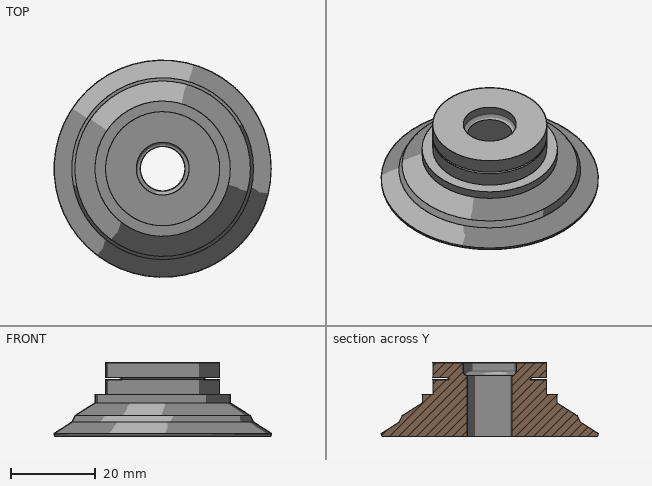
import cadquery as cq
import math

lip_edge_height = 0.5
lip_top_height = 0.8
skirt_step_height = 3.5
shoulder_height = 5.0
collar_height = 8.0
neck_height = 10.0
groove_bottom_height = 13.5
groove_width = 0.5
total_height = 17.5

lip_diameter = 51.4
skirt_step_diameter = 43.0
shoulder_diameter = 41.5
collar_diameter = 32.0
neck_diameter = 27.0
stem_diameter = 19.0

lip_radius = 0.5

stem_blend_radius = 1.0

bore_diameter = 10.5
counterbore_diameter = 12.5
counterbore_straight_depth = 2.0


def make_body():
    """Revolve the outer profile about Z, with a groove cut in around the neck."""
    lip = lip_diameter / 2
    neck = neck_diameter / 2
    collar = collar_diameter / 2
    groove_top_height = groove_bottom_height + groove_width
    blend_center = stem_diameter / 2 + stem_blend_radius
    center_below_groove = stem_blend_radius - groove_width
    groove_floor = blend_center - math.sqrt(stem_blend_radius**2 - center_below_groove**2)
    profile = (
        cq.Workplane("XZ")
        .moveTo(0, 0)
        .lineTo(lip - lip_radius, 0)
        .radiusArc((lip, lip_edge_height), -lip_radius)
        .lineTo(lip, lip_top_height)
        .lineTo(skirt_step_diameter / 2, skirt_step_height)
        .lineTo(shoulder_diameter / 2, shoulder_height)
        .lineTo(collar, collar_height)
        .lineTo(collar, neck_height)
        .lineTo(neck, neck_height)
        .lineTo(neck, groove_bottom_height)
        .lineTo(groove_floor, groove_bottom_height)
        .radiusArc((blend_center, groove_top_height), stem_blend_radius)
        .lineTo(neck, groove_top_height)
        .lineTo(neck, total_height)
        .lineTo(0, total_height)
        .close()
    )
    return profile.revolve(360, (0, 0, 0), (0, 1, 0))


def make_bore():
    """Through bore with a counterbore whose floor blends concavely into the wall."""
    bore = bore_diameter / 2
    counterbore = counterbore_diameter / 2
    blend_radius = counterbore - bore
    blend_top_height = total_height - counterbore_straight_depth
    profile = (
        cq.Workplane("XZ")
        .moveTo(0, 0)
        .lineTo(bore, 0)
        .lineTo(bore, blend_top_height - blend_radius)
        .radiusArc((counterbore, blend_top_height), -blend_radius)
        .lineTo(counterbore, total_height)
        .lineTo(0, total_height)
        .close()
    )
    return profile.revolve(360, (0, 0, 0), (0, 1, 0))


result = make_body().cut(make_bore())